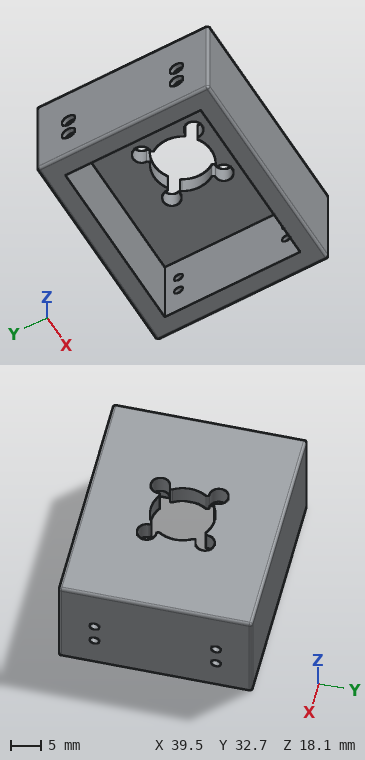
import cadquery as cq
import math

LENGTH = 39.52
WIDTH = 32.73
HEIGHT = 18.12
EDGE_RADIUS = 0.5

WALL = 3.5
ROOF = 3.5

OPENING_RADIUS = 5.4
LOBE_RADIUS = 1.6
LOBE_OFFSET = 4.94
NECK_ROUNDING = 0.35

SCREW_DIAMETER = 1.6
COUNTERBORE_DIAMETER = 2.5
COUNTERBORE_DEPTH = 1.0
SCREW_Y = 10.265
UPPER_SCREW_Z = 0.68
SCREW_PITCH_Z = 3.75


def hollow_box():
    """Box with every outer edge rounded and a rectangular cavity open at the bottom."""
    box = cq.Workplane("XY").box(LENGTH, WIDTH, HEIGHT).edges().fillet(EDGE_RADIUS)
    cavity = (
        cq.Workplane("XY", origin=(0, 0, -HEIGHT / 2))
        .rect(LENGTH - 2 * WALL, WIDTH - 2 * WALL)
        .extrude(HEIGHT - ROOF)
    )
    return box.cut(cavity)


def lobe_cutter(roof_plane):
    """Lobe lying toward +X, joined to the round hole by a neck with rounded corners."""
    lobe_distance = LOBE_OFFSET * math.sqrt(2)

    to_opening = OPENING_RADIUS + NECK_ROUNDING
    to_lobe = LOBE_RADIUS + NECK_ROUNDING
    corner_x = (to_opening**2 + lobe_distance**2 - to_lobe**2) / (2 * lobe_distance)
    corner_y = math.sqrt(to_opening**2 - corner_x**2)
    corners = [(corner_x, corner_y), (corner_x, -corner_y)]

    lobe = roof_plane.center(lobe_distance, 0).circle(LOBE_RADIUS).extrude(ROOF)
    neck = (
        roof_plane.polyline([(0, 0), corners[0], (lobe_distance, 0), corners[1]])
        .close()
        .extrude(ROOF)
    )
    rounding = roof_plane.pushPoints(corners).circle(NECK_ROUNDING).extrude(ROOF)
    return lobe.union(neck.cut(rounding))


def roof_opening():
    """Round hole with four lobes, through the roof."""
    roof_plane = cq.Workplane("XY", origin=(0, 0, HEIGHT / 2 - ROOF))
    opening = roof_plane.circle(OPENING_RADIUS).extrude(ROOF)
    lobe = lobe_cutter(roof_plane)
    for angle in (45, 135, 225, 315):
        opening = opening.union(lobe.rotate((0, 0, 0), (0, 0, 1), angle))
    return opening


def screw_holes():
    """Two pairs of holes through both end walls, counterbored on the outside of the -X wall."""
    lower_screw_z = UPPER_SCREW_Z - SCREW_PITCH_Z
    places = [(y, z) for y in (-SCREW_Y, SCREW_Y) for z in (lower_screw_z, UPPER_SCREW_Z)]
    end_face = cq.Workplane("YZ", origin=(-LENGTH / 2, 0, 0)).pushPoints(places)
    holes = end_face.circle(SCREW_DIAMETER / 2).extrude(LENGTH)
    counterbores = end_face.circle(COUNTERBORE_DIAMETER / 2).extrude(COUNTERBORE_DEPTH)
    return holes.union(counterbores)


result = hollow_box().cut(roof_opening()).cut(screw_holes())